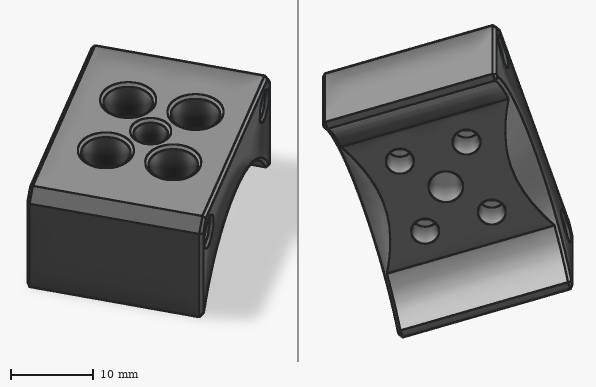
import cadquery as cq
import math

width = 22.18
length = 30.8
height = 14.75
edge_chamfer = 0.4
top_bevel_length = 1.42
top_bevel_drop = 1.7

saddle_radius = 17.25
leg_foot = 1.0
ceiling_height = 5.2
saddle_center_z = -math.sqrt(saddle_radius**2 - (length / 2 - leg_foot) ** 2)

pattern_center_x = 0.25
screw_spacing_x = 8.5
screw_spacing_y = 10.0
screw_diameter = 3.4
counterbore_diameter = 6.0
counterbore_depth = 5.0
center_hole_diameter = 4.2

cross_hole_diameter = 3.4
cross_hole_y = 12.47
cross_hole_z = 11.2


def make_block():
    """Bridge-shaped profile extruded along X, with the two top edges beveled."""
    half = length / 2
    shoulder_z = height - top_bevel_drop
    top_y = half - top_bevel_length
    outline = [
        (-half, 0),
        (half, 0),
        (half, shoulder_z),
        (top_y, height),
        (-top_y, height),
        (-half, shoulder_z),
    ]
    block = cq.Workplane("YZ").polyline(outline).close().extrude(width / 2, both=True)
    return block.faces("<X or >X").chamfer(edge_chamfer)


def make_saddle():
    """Cylinder along X, cut off flat at the ceiling height."""
    cylinder = (
        cq.Workplane("YZ").center(0, saddle_center_z).circle(saddle_radius).extrude(width / 2, both=True)
    )
    below_ceiling = cq.Workplane("XY").box(width, 2 * length, 2 * length, centered=(True, True, False))
    return cylinder.intersect(below_ceiling.translate((0, 0, ceiling_height - 2 * length)))


def make_mouth(side):
    """45 degree cone opening the saddle at one X end; it runs inward until it meets the ceiling."""
    mouth_radius = saddle_radius + edge_chamfer
    return cq.Workplane(
        cq.Solid.makeCone(
            mouth_radius,
            0,
            mouth_radius,
            pnt=cq.Vector(side * width / 2, 0, saddle_center_z),
            dir=cq.Vector(-side, 0, 0),
        )
    )


def hole_with_chamfer(diameter, depth, start, direction):
    """Cutter for a round hole with a 45 degree chamfer at its start."""
    origin = cq.Vector(*start)
    axis = cq.Vector(*direction)
    radius = diameter / 2
    bore = cq.Solid.makeCylinder(radius, depth, origin, axis)
    mouth = cq.Solid.makeCone(radius + edge_chamfer, radius, edge_chamfer, origin, axis)
    return cq.Workplane(bore).union(cq.Workplane(mouth))


result = make_block().cut(make_saddle())

for side in (-1, 1):
    result = result.cut(make_mouth(side))

for side_x in (-1, 1):
    for side_y in (-1, 1):
        x = pattern_center_x + side_x * screw_spacing_x / 2
        y = side_y * screw_spacing_y / 2
        counterbore = hole_with_chamfer(counterbore_diameter, counterbore_depth, (x, y, height), (0, 0, -1))
        screw = cq.Workplane("XY").center(x, y).circle(screw_diameter / 2).extrude(height)
        result = result.cut(counterbore).cut(screw)

center_start = (pattern_center_x, 0, height)
result = result.cut(hole_with_chamfer(center_hole_diameter, height, center_start, (0, 0, -1)))

for side_y in (-1, 1):
    for side_x in (-1, 1):
        start = (side_x * width / 2, side_y * cross_hole_y, cross_hole_z)
        result = result.cut(hole_with_chamfer(cross_hole_diameter, width, start, (-side_x, 0, 0)))